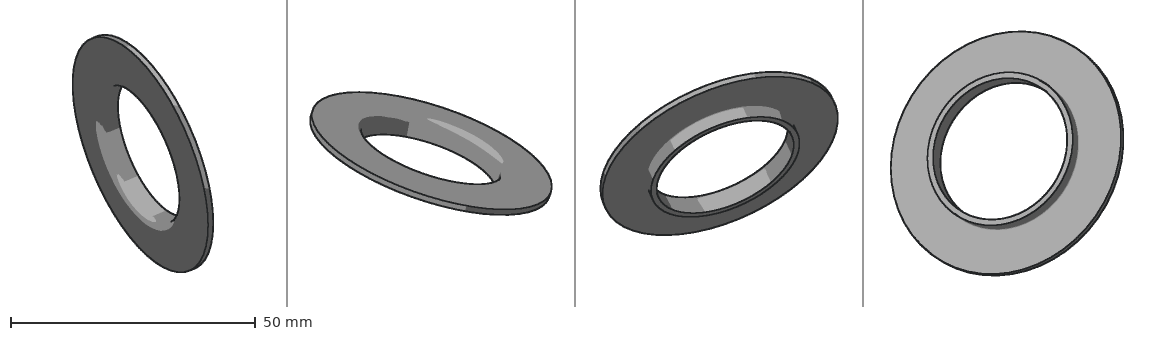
import cadquery as cq
import math

flange_radius = 25.75
sleeve_diameter = 32.5
bore_radius = 15.0
total_depth = 5.0
sleeve_length = 2.9
rim_thickness = 1.3
lip_radius = 1.6
root_fillet = 0.23

sleeve_radius = sleeve_diameter / 2

sleeve_end = total_depth
flange_back = sleeve_end - sleeve_length
rim_front = flange_back - rim_thickness

lip_outer_radius = bore_radius + lip_radius
arc_offset = lip_radius * math.sqrt(0.5)
lip_middle = (lip_outer_radius - arc_offset, lip_radius - arc_offset)

root_outer_radius = sleeve_radius + root_fillet
root_top = flange_back + root_fillet
root_offset = root_fillet * math.sqrt(0.5)
root_middle = (root_outer_radius - root_offset, root_top - root_offset)

section = (
    cq.Workplane("XY")
    .moveTo(bore_radius, sleeve_end)
    .lineTo(bore_radius, lip_radius)
    .threePointArc(lip_middle, (lip_outer_radius, 0))
    .lineTo(flange_radius, rim_front)
    .lineTo(flange_radius, flange_back)
    .lineTo(root_outer_radius, flange_back)
    .threePointArc(root_middle, (sleeve_radius, root_top))
    .lineTo(sleeve_radius, sleeve_end)
    .close()
)

result = section.revolve(360, (0, 0, 0), (0, 1, 0))